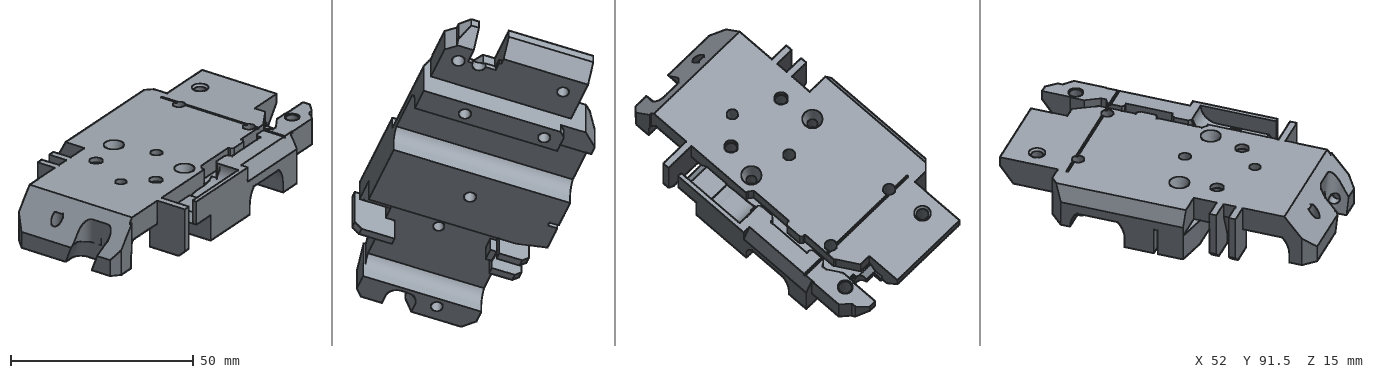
import cadquery as cq
import math

WIDTH = 52.0
LENGTH = 91.5
HEIGHT = 15.0
MARGIN = 0.9

BODY_LEFT = 8.6
BODY_RIGHT = 42.8
FRONT_FOOT_RIGHT = 43.5
REAR_EDGE_RIGHT = 49.9
WING_FRONT = 34.9
LEG_FRONT = 33.0
WING_REAR = 74.6
RIGHT_WALL_FRONT = 26.2

PLATE_BOTTOM = 7.9
REAR_PLATE_BOTTOM = 7.0
ARCH_SPRING = 3.0
ARCH_RADIUS = 6.9
FRONT_FOOT_BACK = 7.0
LEG_BACK = 52.0
REAR_LEG_FRONT = 67.9

NOSE_LENGTH = 8.4
NOSE_EDGE = 4.9
TAIL_LENGTH = 3.9
TAIL_EDGE = 12.3
WING_BEVEL_WIDTH = 2.3
WING_BEVEL_HEIGHT = 4.4
RIGHT_BEVEL_FRONT = 51.0


def box(x_range, y_range, z_range):
    """Axis-aligned block spanning the three (low, high) ranges."""
    (x0, x1), (y0, y1), (z0, z1) = x_range, y_range, z_range
    return cq.Workplane("XY").box(x1 - x0, y1 - y0, z1 - z0, centered=False).translate((x0, y0, z0))


def side_prism(points, x_range):
    """Extrude a closed (y, z) outline along X."""
    x0, x1 = x_range
    return cq.Workplane("YZ", origin=(x0, 0, 0)).polyline(points).close().extrude(x1 - x0)


def front_prism(points, y_range):
    """Extrude a closed (x, z) outline along Y."""
    y0, y1 = y_range
    return cq.Workplane("XZ", origin=(0, y0, 0)).polyline(points).close().extrude(y0 - y1)


def plan_pocket(points, floor):
    """Extrude a closed (x, y) outline from the floor up through the top face."""
    outline = cq.Workplane("XY", origin=(0, 0, floor)).polyline(points).close()
    return outline.extrude(HEIGHT + MARGIN - floor)


ALL_X = (-MARGIN, WIDTH + MARGIN)


def make_block():
    outline = [
        (11.8, 0), (41.4, 0), (FRONT_FOOT_RIGHT, 2.3), (FRONT_FOOT_RIGHT, 7.4), (BODY_RIGHT, 7.4),
        (BODY_RIGHT, RIGHT_WALL_FRONT), (WIDTH, RIGHT_WALL_FRONT), (WIDTH, WING_REAR),
        (REAR_EDGE_RIGHT, WING_REAR), (REAR_EDGE_RIGHT, 84.9), (47.2, 87.3), (47.2, 88.7), (44.6, LENGTH),
        (BODY_LEFT, LENGTH), (BODY_LEFT, WING_REAR), (4.2, WING_REAR), (0, 70.55),
        (0, WING_FRONT), (BODY_LEFT, LEG_FRONT), (BODY_LEFT, 3.3),
    ]
    return plan_pocket(outline, 0).intersect(box(ALL_X, (0, LENGTH), (0, HEIGHT)))


def arch_points(spring_y, direction):
    """Middle and end of the arch curve that starts upright at spring_y and leans along direction."""
    end_angle = math.asin((PLATE_BOTTOM - ARCH_SPRING) / ARCH_RADIUS)
    return [
        (
            spring_y + direction * ARCH_RADIUS * (1 - math.cos(angle)),
            ARCH_SPRING + ARCH_RADIUS * math.sin(angle),
        )
        for angle in (end_angle / 2, end_angle)
    ]


def make_front_opening():
    middle, end = arch_points(FRONT_FOOT_BACK, 1)
    outline = (
        cq.Workplane("YZ", origin=(-MARGIN, 0, 0))
        .moveTo(FRONT_FOOT_BACK, -MARGIN)
        .lineTo(FRONT_FOOT_BACK, ARCH_SPRING)
        .threePointArc(middle, end)
        .lineTo(LEG_FRONT, PLATE_BOTTOM)
        .lineTo(LEG_FRONT, -MARGIN)
        .close()
    )
    return outline.extrude(WIDTH + 2 * MARGIN)


def make_middle_opening():
    front_middle, front_end = arch_points(LEG_BACK, 1)
    rear_middle, rear_end = arch_points(REAR_LEG_FRONT, -1)
    outline = (
        cq.Workplane("YZ", origin=(-MARGIN, 0, 0))
        .moveTo(LEG_BACK, -MARGIN)
        .lineTo(LEG_BACK, ARCH_SPRING)
        .threePointArc(front_middle, front_end)
        .lineTo(*rear_end)
        .threePointArc(rear_middle, (REAR_LEG_FRONT, ARCH_SPRING))
        .lineTo(REAR_LEG_FRONT, -MARGIN)
        .close()
    )
    return outline.extrude(WIDTH + 2 * MARGIN)


def make_rear_opening():
    outline = [
        (WING_REAR, -MARGIN), (WING_REAR, REAR_PLATE_BOTTOM), (LENGTH - TAIL_LENGTH, REAR_PLATE_BOTTOM),
        (LENGTH, TAIL_EDGE), (LENGTH + MARGIN, TAIL_EDGE), (LENGTH + MARGIN, -MARGIN),
    ]
    return side_prism(outline, ALL_X)


def make_edge_cuts():
    nose = side_prism([(0, NOSE_EDGE), (NOSE_LENGTH, HEIGHT), (0, HEIGHT)], ALL_X)
    bevel_z = HEIGHT - WING_BEVEL_HEIGHT
    left_bevel = front_prism(
        [(0, bevel_z), (WING_BEVEL_WIDTH, HEIGHT), (0, HEIGHT)], (LEG_FRONT, WING_REAR + MARGIN))
    right_bevel = front_prism(
        [(WIDTH, bevel_z), (WIDTH - WING_BEVEL_WIDTH, HEIGHT), (WIDTH, HEIGHT)],
        (RIGHT_BEVEL_FRONT, WING_REAR + MARGIN))
    wing_front_step = box(
        (-MARGIN, BODY_LEFT), (LEG_FRONT - MARGIN, WING_FRONT), (PLATE_BOTTOM, HEIGHT + MARGIN))
    foot_left = 10.1
    foot_chamfer = 1.6
    foot_step = box(
        (-MARGIN, foot_left), (REAR_LEG_FRONT - MARGIN, WING_REAR + MARGIN), (-MARGIN, ARCH_SPRING))
    foot_corner = (
        cq.Workplane("XY", origin=(0, 0, -MARGIN))
        .polyline([
            (foot_left, WING_REAR - foot_chamfer), (foot_left, WING_REAR + MARGIN),
            (foot_left + foot_chamfer, WING_REAR + MARGIN), (foot_left + foot_chamfer, WING_REAR),
        ])
        .close()
        .extrude(ARCH_SPRING + MARGIN)
    )
    return [nose, left_bevel, right_bevel, wing_front_step, foot_step, foot_corner]


FIN_THICKNESS = 2.0
FRONT_FIN_Y = 20.6
REAR_FIN_Y = 26.2
LEFT_FIN_OUTER = 2.8
LEFT_FIN_INNER = 11.6
RIGHT_FIN_INNER = 40.3
FIN_CHAMFER = 2.0


def make_fin(outer_x, inner_x, y):
    toward_body = math.copysign(FIN_CHAMFER, inner_x - outer_x)
    outline = [
        (outer_x, FIN_CHAMFER), (outer_x, HEIGHT), (inner_x, HEIGHT),
        (inner_x, 0), (outer_x + toward_body, 0),
    ]
    return front_prism(outline, (y, y + FIN_THICKNESS))


def make_fins():
    left_front = make_fin(LEFT_FIN_OUTER, LEFT_FIN_INNER, FRONT_FIN_Y)
    left_rear = make_fin(LEFT_FIN_OUTER, LEFT_FIN_INNER, REAR_FIN_Y)
    right_front = make_fin(WIDTH, RIGHT_FIN_INNER, FRONT_FIN_Y)
    return left_front.union(left_rear).union(right_front)


def add_web(body):
    web_top = 10.9
    web_thickness = 1.8
    gap = (FRONT_FIN_Y + FIN_THICKNESS, REAR_FIN_Y)
    web_end = LEFT_FIN_INNER + web_thickness
    slope = [(BODY_LEFT, web_top), (LEFT_FIN_INNER, ARCH_SPRING)]
    body = body.cut(front_prism(slope + [(BODY_LEFT, ARCH_SPRING)], gap))
    return body.union(front_prism(slope + [(web_end, ARCH_SPRING), (web_end, web_top)], gap))


TROUGH_FLOOR = 10.1


def make_trough():
    wall_inner_x = 50.7
    slope_rear = 28.4
    curve_rear = 48.2
    curve_radius = HEIGHT - TROUGH_FLOOR
    curve_front = curve_rear - curve_radius
    curve_middle = (
        curve_front + curve_radius * math.sqrt(0.5),
        HEIGHT - curve_radius * math.sqrt(0.5),
    )
    outline = (
        cq.Workplane("YZ", origin=(BODY_RIGHT, 0, 0))
        .moveTo(RIGHT_WALL_FRONT, PLATE_BOTTOM)
        .lineTo(slope_rear, TROUGH_FLOOR)
        .lineTo(curve_front, TROUGH_FLOOR)
        .threePointArc(curve_middle, (curve_rear, HEIGHT))
        .lineTo(curve_rear, HEIGHT + MARGIN)
        .lineTo(RIGHT_WALL_FRONT, HEIGHT + MARGIN)
        .close()
    )
    return outline.extrude(wall_inner_x - BODY_RIGHT)


def make_trough_recess():
    """Shallow recess in the trough floor whose rear side curves down to its bottom."""
    right_end = 50.0
    rear = 39.2
    front = 36.05
    depth = 0.4
    curve_radius = ((rear - front) ** 2 + depth ** 2) / (2 * depth)
    half_angle = math.asin((rear - front) / curve_radius) / 2
    bottom = TROUGH_FLOOR - depth
    curve_middle = (
        front + curve_radius * math.sin(half_angle),
        bottom + curve_radius * (1 - math.cos(half_angle)),
    )
    outline = (
        cq.Workplane("YZ", origin=(BODY_RIGHT, 0, 0))
        .moveTo(rear, TROUGH_FLOOR)
        .threePointArc(curve_middle, (front, bottom))
        .lineTo(front, TROUGH_FLOOR)
        .close()
    )
    return outline.extrude(right_end - BODY_RIGHT)


CHANNEL_FLOOR = 10.4
CHANNEL_LEFT = 40.9
CHANNEL_RIGHT = 44.6
NOTCH_LEFT = 33.5
NOTCH_RIGHT = 42.3
NOTCH_FRONT = 80.9
LEDGE_LEFT = 34.1
LEDGE_RIGHT = 42.1
LEDGE_REAR = 83.2


def make_channel():
    left_side = [
        (37.0, NOTCH_FRONT), (40.5, 74.85), (CHANNEL_LEFT, WING_REAR),
        (CHANNEL_LEFT, 63.6), (41.5, 63.6), (NOTCH_RIGHT, 62.9), (NOTCH_RIGHT, 58.3), (41.5, 57.55),
        (CHANNEL_LEFT, 57.55), (CHANNEL_LEFT, 44.4), (42.1, 43.3),
    ]
    right_side = [
        (BODY_RIGHT, 43.3), (BODY_RIGHT, 46.7), (CHANNEL_RIGHT, 46.7), (CHANNEL_RIGHT, 48.1), (43.6, 48.1),
        (BODY_RIGHT, 48.95), (BODY_RIGHT, 53.2), (43.7, 54.1), (CHANNEL_RIGHT, 54.1),
        (CHANNEL_RIGHT, 67.8), (43.5, 67.8), (BODY_RIGHT, 68.4), (BODY_RIGHT, 72.3), (43.5, 73.0),
        (CHANNEL_RIGHT, 73.6), (CHANNEL_RIGHT, 75.0),
        (LEDGE_RIGHT, 79.15), (LEDGE_RIGHT, NOTCH_FRONT),
    ]
    return plan_pocket(left_side + right_side, CHANNEL_FLOOR)


def make_notch_cuts():
    ledge_slope_front = 81.4
    ledge_step_rear = 85.8
    ledge_rear_z = 8.6
    bite_x = 39.0
    bite_radius = 1.9
    opening = box(
        (LEDGE_LEFT, NOTCH_RIGHT), (LEDGE_REAR, LENGTH + MARGIN), (-MARGIN, HEIGHT + MARGIN))
    outer_step = box(
        (NOTCH_LEFT, LEDGE_LEFT), (ledge_step_rear, LENGTH + MARGIN), (-MARGIN, HEIGHT + MARGIN))
    ledge = side_prism(
        [
            (NOTCH_FRONT, CHANNEL_FLOOR), (ledge_slope_front, CHANNEL_FLOOR),
            (LEDGE_REAR, ledge_rear_z), (ledge_step_rear, ledge_rear_z),
            (ledge_step_rear, HEIGHT + MARGIN), (NOTCH_FRONT, HEIGHT + MARGIN),
        ],
        (NOTCH_LEFT, LEDGE_RIGHT))
    bite = cq.Workplane("XY").center(bite_x, LEDGE_REAR).circle(bite_radius).extrude(HEIGHT)
    pocket_floor = 9.5
    long_pocket = box((41.0, LEDGE_RIGHT), (76.95, NOTCH_FRONT), (pocket_floor, HEIGHT))
    wide_pocket = box((bite_x, 41.3), (80.1, NOTCH_FRONT), (pocket_floor, HEIGHT))
    return [opening, outer_step, ledge, bite, long_pocket, wide_pocket]


def make_round_hole(x, y, diameter, mouth_diameter=0, mouth_depth=0):
    """Hole through the plate, with a wider straight mouth at the top face when one is given."""
    hole = cq.Workplane("XY").circle(diameter / 2).extrude(-HEIGHT - MARGIN)
    if mouth_diameter > diameter:
        hole = hole.union(cq.Workplane("XY").circle(mouth_diameter / 2).extrude(-mouth_depth))
    return hole.translate((x, y, HEIGHT))


def make_stepped_sink(x, y):
    """Blind screw hole with a steep upper cone and a second cone down to the bore."""
    mouth_radius = 5.6 / 2
    shoulder_radius = 4.0 / 2
    bore_radius = 2.8 / 2
    shoulder_depth = 1.8
    bore_start = 3.2
    total_depth = 8.2
    profile = [
        (0, 0), (mouth_radius, 0), (shoulder_radius, -shoulder_depth),
        (bore_radius, -bore_start), (bore_radius, -total_depth), (0, -total_depth),
    ]
    sink = cq.Workplane("XZ").polyline(profile).close().revolve(360, (0, 0, 0), (0, 1, 0))
    return sink.translate((x, y, HEIGHT))


def make_countersunk_hole(x, y, diameter, mouth_diameter):
    """Through hole with a 45 degree countersink at the top face."""
    sink = (mouth_diameter - diameter) / 2
    cone = cq.Workplane("XY").circle(mouth_diameter / 2).extrude(-sink, taper=45)
    return make_round_hole(x, y, diameter).union(cone.translate((x, y, HEIGHT)))


def make_tilted_hole():
    tilt = 7.0
    diameter = 3.1
    hole = cq.Workplane("XY").circle(diameter / 2).extrude(-HEIGHT).translate((0, 0, MARGIN))
    return hole.rotate((0, 0, 0), (1, 0, 0), tilt).translate((28.2, 24.2, HEIGHT))


def make_holes():
    plain_diameter = 3.4
    plain = [make_round_hole(x, y, plain_diameter) for x, y in [(15.1, 71.0), (38.4, 71.0), (26.35, 43.9)]]
    shouldered = [
        make_round_hole(x, 30.6, diameter=3.3, mouth_diameter=3.75, mouth_depth=1.5) for x in (15.5, 35.4)
    ]
    sinks = [make_stepped_sink(x, y) for x, y in [(14.1, 41.1), (38.0, 40.6)]]
    countersunk = [
        make_countersunk_hole(14.1, 82.6, diameter=3.3, mouth_diameter=4.6),
        make_countersunk_hole(44.8, 82.5, diameter=3.6, mouth_diameter=4.1),
    ]
    return plain + shouldered + sinks + countersunk + [make_tilted_hole()]


SLOT_BACK = 5.95


def make_slot(x_range, bottom):
    """Upright slot open toward the front, with square back corners."""
    return box(x_range, (-SLOT_BACK, SLOT_BACK), (bottom, 2 * HEIGHT))


def make_foot_cuts():
    pin_diameter = 3.3
    pin_top = 11.2
    pin = cq.Workplane("XY").center(20.7, 4.3).circle(pin_diameter / 2).extrude(pin_top)

    slot_tilt = 20.0
    slot_width = 8.1
    tilted_corner_radius = 3.2
    upright_corner_radius = 2.8
    tilted_slot = make_slot((-slot_width / 2, slot_width / 2), -HEIGHT)
    tilted_slot = tilted_slot.edges("|Z and >Y").fillet(tilted_corner_radius)
    tilted_slot = tilted_slot.rotate((0, 0, 0), (0, 1, 0), slot_tilt).translate((30.8, 0, 0))
    upright_slot = make_slot((28.55, 34.3), NOSE_EDGE)
    upright_slot = upright_slot.edges("|Z and >Y and <X").fillet(upright_corner_radius)

    cross_hole_diameter = 2.8
    cross_hole_length = 4.6
    cross_hole_start = (33.9, 3.8, 3.9)
    cross_hole = cq.Workplane("YZ", origin=cross_hole_start).circle(cross_hole_diameter / 2)
    return [pin, tilted_slot, upright_slot, cross_hole.extrude(cross_hole_length)]


def make_narrow_cuts():
    groove_depth = 0.4
    groove = box((BODY_LEFT, REAR_EDGE_RIGHT), (71.6, 72.1), (HEIGHT - groove_depth, HEIGHT + MARGIN))
    slit_depth = 2.7
    slit = box((-MARGIN, slit_depth), (42.3, 43.4), (-MARGIN, PLATE_BOTTOM))
    return [groove, slit]


result = make_block()
result = result.cut(make_front_opening()).cut(make_middle_opening()).cut(make_rear_opening())
for cutter in make_edge_cuts():
    result = result.cut(cutter)
result = result.union(make_fins())
result = add_web(result)
cutters = [make_trough(), make_trough_recess(), make_channel()]
cutters += make_notch_cuts() + make_holes() + make_foot_cuts() + make_narrow_cuts()
for cutter in cutters:
    result = result.cut(cutter)